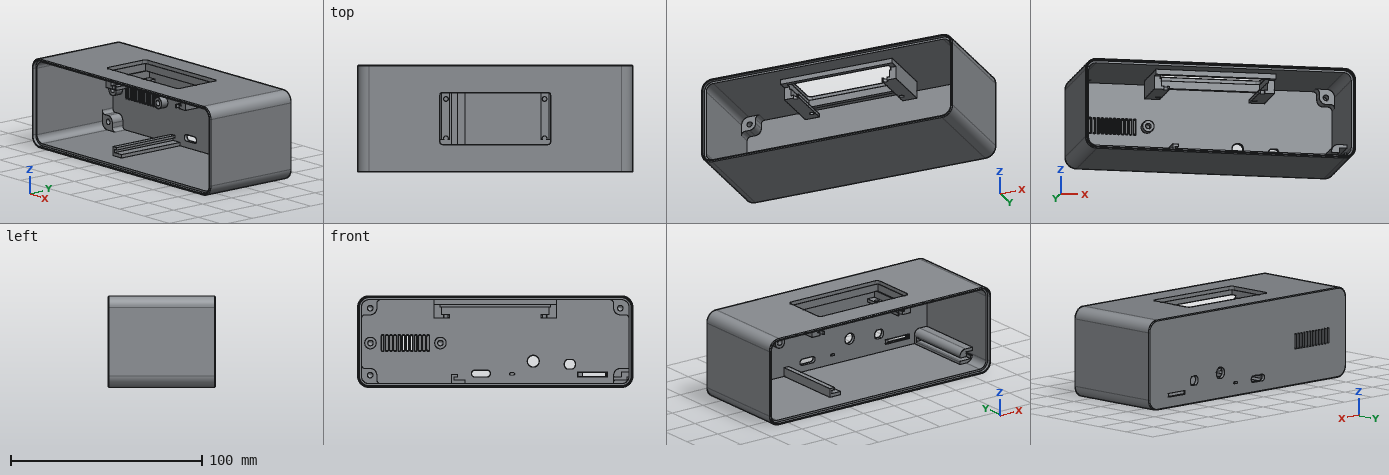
import cadquery as cq
import math

WIDTH = 144.0
DEPTH = 56.0
HEIGHT = 48.0
WALL = 2.0
CORNER_RADIUS = 6.0
EDGE_CHAMFER = 0.5
RIM_LIP = 0.94
REBATE_DEPTH = 2.0

FRONT_Y = -DEPTH / 2
BACK_Y = DEPTH / 2
INNER_BACK_Y = BACK_Y - WALL
INNER_RIGHT_X = WIDTH / 2 - WALL
CEILING_Z = HEIGHT / 2 - WALL
FLOOR_Z = -CEILING_Z
INNER_RADIUS = CORNER_RADIUS - WALL

WINDOW_X = 58.2
WINDOW_Y = 27.4
WINDOW_RADIUS = 2.0

BOSS_DIAMETER = 6.9
BOSS_X = 65.4
BOSS_Z = 17.49
BOSS_LENGTH = 7.2
BOSS_WEB_FILLET = 2.0
SCREW_DIAMETER = 2.9
SCREW_DEPTH = 5.8
DRILL_TIP_ANGLE = 118.0

FAN_X = -47.0
FAN_Z = -0.7
FAN_BOSS_SPACING = 36.5
FAN_BOSS_DIAMETER = 6.0
FAN_BOSS_LENGTH = 4.3
FAN_SCREW_DEPTH = 3.6
VENT_COUNT = 12
VENT_PITCH = 2.2
VENT_WIDTH = 1.0
VENT_HEIGHT = 8.2
OPENING_CHAMFER = 0.3

JACK_CENTRE = (19.9, -10.2)
JACK_DIAMETER = 6.0
KNOB_CENTRE = (39.0, -11.8)
KNOB_DIAMETER = 5.8
KNOB_FLATS = 4.9
USB_CENTRE = (-7.5, -16.7)
USB_SIZE = (9.8, 3.5)
BUTTON_CENTRE = (8.8, -16.8)
BUTTON_SIZE = (2.6, 1.0)
CARD_RECESS_X = (43.3, 58.5)
CARD_SLOT_X = (45.6, 57.7)
CARD_Z = -17.1
CARD_HEIGHT = 2.0
CARD_RECESS_DEPTH = 1.0

BRACKET_X = 63.9
BRACKET_Y = 31.4
BRACKET_BOTTOM_Z = 12.4
BRACKET_LEDGE = 0.1
CLIP_TOP_Z = 19.3
CAVITY_X = 56.5
CAVITY_TOP_Z = 18.0
HOOK_TOP_Z = 14.1
HOOK_GAP_X = 47.8
CLIP_FRONT_Y = -11.0
PEG_HOLE_DIAMETER = 2.5
PEG_SPACING_X = 51.5
PEG_SPACING_Y = 20.6

RAIL_FRONT_Y = -14.1
GROOVE_BOTTOM_Z = -20.2
GROOVE_TOP_Z = -18.5
RAIL_FILLET = 0.5
LEFT_RAIL_X = -22.7
LEFT_RAIL_BASE = 6.9
LEFT_RAIL_HOOK = 3.0
LEFT_RAIL_WALL = 1.3
LEFT_RAIL_TOP_Z = -17.1
RIGHT_GROOVE_END_X = 68.8
RIGHT_POCKET_X = 66.1
RIGHT_POCKET_TOP_Z = -15.8
RIGHT_RAIL_WEB = 2.0


def box(x0, x1, y0, y1, z0, z1):
    """A block between two corners."""
    return cq.Workplane("XY").box(x1 - x0, y1 - y0, z1 - z0, centered=False).translate((x0, y0, z0))


def profile_plane(y):
    """A sketch plane facing the front: local x is X, local y is Z, extrusion goes towards -Y."""
    return cq.Workplane("XZ", origin=(0, y, 0))


def rounded_prism(inset, y0, y1):
    """The outer cross-section, moved inwards by an inset, between two depths."""
    return (
        profile_plane(y1)
        .rect(WIDTH - 2 * inset, HEIGHT - 2 * inset)
        .extrude(y1 - y0)
        .edges("|Y")
        .fillet(CORNER_RADIUS - inset)
    )


def screw_hole(x, z, mouth_y, depth):
    """A blind drilled hole with a conical bottom, running from its mouth towards +Y."""
    radius = SCREW_DIAMETER / 2
    tip = radius / math.tan(math.radians(DRILL_TIP_ANGLE / 2))
    return (
        cq.Workplane("XY")
        .polyline([(0, 0), (radius, 0), (radius, depth), (0, depth + tip)])
        .close()
        .revolve(360, (0, 0, 0), (0, 1, 0))
        .translate((x, mouth_y, z))
    )


def corner_boss(side_x, side_z):
    """A boss that fills an inside corner and blends into both walls."""
    x, z = side_x * BOSS_X, side_z * BOSS_Z
    edge_x = BOSS_X - BOSS_DIAMETER / 2
    edge_z = BOSS_Z - BOSS_DIAMETER / 2
    fillet = BOSS_WEB_FILLET
    right, top = INNER_RIGHT_X, CEILING_Z
    reach = WALL / 2
    boss = (
        cq.Workplane("XZ", origin=(0, INNER_BACK_Y + reach, 0))
        .moveTo(edge_x - fillet, top)
        .radiusArc((edge_x, top - fillet), fillet)
        .lineTo(edge_x, BOSS_Z)
        .radiusArc((BOSS_X, edge_z), -BOSS_DIAMETER / 2)
        .lineTo(right - fillet, edge_z)
        .radiusArc((right, edge_z - fillet), fillet)
        .lineTo(right + reach, edge_z - fillet)
        .lineTo(right + reach, top + reach)
        .lineTo(edge_x - fillet, top + reach)
        .close()
        .extrude(BOSS_LENGTH + reach)
    )
    if side_x < 0:
        boss = boss.mirror("YZ")
    if side_z < 0:
        boss = boss.mirror("XY")
    return boss.intersect(rounded_prism(WALL / 2, FRONT_Y, BACK_Y)), screw_hole(
        x, z, INNER_BACK_Y - BOSS_LENGTH, SCREW_DEPTH
    )


def fan_boss(x):
    """A round boss beside the vents."""
    boss = profile_plane(INNER_BACK_Y).center(x, FAN_Z).circle(FAN_BOSS_DIAMETER / 2).extrude(FAN_BOSS_LENGTH)
    return boss, screw_hole(x, FAN_Z, INNER_BACK_Y - FAN_BOSS_LENGTH, FAN_SCREW_DEPTH)


def back_slot(centre, size, y0, y1, angle=0):
    """A round-ended slot along Y."""
    return profile_plane(y1).center(*centre).slot2D(*size, angle).extrude(y1 - y0)


def vents():
    """A row of upright slots with chamfered inner mouths."""
    flare = 2 * OPENING_CHAMFER
    size = (VENT_HEIGHT, VENT_WIDTH)
    mouth_size = (VENT_HEIGHT + flare, VENT_WIDTH + flare)
    row = None
    for index in range(VENT_COUNT):
        x = FAN_X + (index - (VENT_COUNT - 1) / 2) * VENT_PITCH
        slot = back_slot((x, FAN_Z), size, INNER_BACK_Y, BACK_Y, 90)
        mouth = (
            profile_plane(INNER_BACK_Y)
            .center(x, FAN_Z)
            .slot2D(*mouth_size, 90)
            .extrude(-OPENING_CHAMFER, taper=45)
        )
        vent = slot.union(mouth)
        row = vent if row is None else row.union(vent)
    return row


def jack_hole():
    return profile_plane(BACK_Y).center(*JACK_CENTRE).circle(JACK_DIAMETER / 2).extrude(WALL)


def knob_hole():
    """A round hole with a flat at its top and bottom."""
    plane = profile_plane(BACK_Y).center(*KNOB_CENTRE)
    flats = plane.rect(KNOB_DIAMETER, KNOB_FLATS).extrude(WALL)
    return plane.circle(KNOB_DIAMETER / 2).extrude(WALL).intersect(flats)


def card_slot():
    """A card slot at the bottom of a wider recess with a chamfered mouth."""
    half = CARD_HEIGHT / 2
    recess_bottom_y = INNER_BACK_Y + CARD_RECESS_DEPTH
    slot = box(*CARD_SLOT_X, INNER_BACK_Y, BACK_Y, CARD_Z - half, CARD_Z + half)
    recess = box(*CARD_RECESS_X, INNER_BACK_Y, recess_bottom_y, CARD_Z - half, CARD_Z + half)
    left, right = CARD_RECESS_X
    flare = 2 * OPENING_CHAMFER
    mouth = (
        profile_plane(INNER_BACK_Y)
        .center((left + right) / 2, CARD_Z)
        .rect(right - left + flare, CARD_HEIGHT + flare)
        .extrude(-OPENING_CHAMFER, taper=45)
    )
    return slot.union(recess).union(mouth)


def window():
    """The rounded window through the top wall."""
    return (
        cq.Workplane("XY", origin=(0, 0, CEILING_Z))
        .rect(WINDOW_X, WINDOW_Y)
        .extrude(WALL)
        .edges("|Z")
        .fillet(WINDOW_RADIUS)
    )


def make_enclosure():
    shell = rounded_prism(0, FRONT_Y, BACK_Y).faces("<Y or >Y").chamfer(EDGE_CHAMFER)
    shell = shell.cut(rounded_prism(WALL, FRONT_Y, INNER_BACK_Y))
    shell = shell.cut(rounded_prism(RIM_LIP, FRONT_Y, FRONT_Y + REBATE_DEPTH))
    shell = shell.cut(window())

    bosses = [corner_boss(*side) for side in ((-1, 1), (1, 1), (-1, -1))]
    bosses += [fan_boss(FAN_X + side * FAN_BOSS_SPACING / 2) for side in (-1, 1)]
    for boss, hole in bosses:
        shell = shell.union(boss).cut(hole)

    usb = back_slot(USB_CENTRE, USB_SIZE, INNER_BACK_Y, BACK_Y)
    button = back_slot(BUTTON_CENTRE, BUTTON_SIZE, INNER_BACK_Y, BACK_Y)
    for opening in (vents(), jack_hole(), knob_hole(), usb, button, card_slot()):
        shell = shell.cut(opening)
    return shell


def make_bracket():
    half_x = BRACKET_X / 2
    half_y = BRACKET_Y / 2
    plate = box(-half_x, half_x, -half_y, half_y, CLIP_TOP_Z, CEILING_Z)
    clips = box(-half_x, half_x, CLIP_FRONT_Y, half_y, BRACKET_BOTTOM_Z, CLIP_TOP_Z)
    cavity = box(-CAVITY_X / 2, CAVITY_X / 2, CLIP_FRONT_Y, half_y, HOOK_TOP_Z, CAVITY_TOP_Z)
    gap = box(-HOOK_GAP_X / 2, HOOK_GAP_X / 2, CLIP_FRONT_Y, half_y, BRACKET_BOTTOM_Z, HOOK_TOP_Z)
    peg_holes = (
        cq.Workplane("XY", origin=(0, 0, BRACKET_BOTTOM_Z))
        .rarray(PEG_SPACING_X, PEG_SPACING_Y, 2, 2)
        .circle(PEG_HOLE_DIAMETER / 2)
        .extrude(HOOK_TOP_Z - BRACKET_BOTTOM_Z)
    )
    opening_x = WINDOW_X / 2 - BRACKET_LEDGE
    opening_y = WINDOW_Y / 2 - BRACKET_LEDGE
    opening = box(-opening_x, opening_x, -opening_y, opening_y, CAVITY_TOP_Z, CEILING_Z)
    return plate.union(clips).cut(cavity).cut(gap).cut(peg_holes).cut(opening)


def make_left_rail():
    left = LEFT_RAIL_X
    inner = left + LEFT_RAIL_WALL
    hook = left + LEFT_RAIL_HOOK
    base = left + LEFT_RAIL_BASE
    return (
        profile_plane(INNER_BACK_Y)
        .polyline([
            (left, FLOOR_Z),
            (base, FLOOR_Z),
            (base, GROOVE_BOTTOM_Z),
            (inner, GROOVE_BOTTOM_Z),
            (inner, GROOVE_TOP_Z),
            (hook, GROOVE_TOP_Z),
            (hook, LEFT_RAIL_TOP_Z),
            (left, LEFT_RAIL_TOP_Z),
        ])
        .close()
        .extrude(INNER_BACK_Y - RAIL_FRONT_Y)
    )


def make_right_rail():
    boss_radius = BOSS_DIAMETER / 2
    left = BOSS_X - boss_radius
    top = -BOSS_Z + boss_radius
    right = INNER_RIGHT_X
    length = INNER_BACK_Y - RAIL_FRONT_Y
    body = (
        profile_plane(INNER_BACK_Y)
        .moveTo(left, FLOOR_Z)
        .lineTo(left, -BOSS_Z)
        .radiusArc((BOSS_X, top), boss_radius)
        .lineTo(right, top)
        .lineTo(right, FLOOR_Z + INNER_RADIUS)
        .radiusArc((right - INNER_RADIUS, FLOOR_Z), INNER_RADIUS)
        .close()
        .extrude(length)
    )
    web_y = INNER_BACK_Y - RIGHT_RAIL_WEB
    groove = box(left, RIGHT_GROOVE_END_X, RAIL_FRONT_Y, web_y, GROOVE_BOTTOM_Z, GROOVE_TOP_Z)
    pocket = box(RIGHT_POCKET_X, right, RAIL_FRONT_Y, web_y, GROOVE_TOP_Z, RIGHT_POCKET_TOP_Z)
    rail = body.cut(groove).cut(pocket)
    middle_y = (RAIL_FRONT_Y + web_y) / 2
    rounded_edges = [(left, GROOVE_BOTTOM_Z), (left, GROOVE_TOP_Z), (RIGHT_POCKET_X, GROOVE_TOP_Z)]
    for x, z in rounded_edges:
        nearest = cq.selectors.NearestToPointSelector((x, middle_y, z))
        rail = rail.edges("|Y").edges(nearest).fillet(RAIL_FILLET)
    return rail


enclosure = make_enclosure()
bracket = make_bracket()
left_rail = make_left_rail()
right_rail = make_right_rail()
result = cq.Compound.makeCompound([enclosure.val(), bracket.val(), left_rail.val(), right_rail.val()])